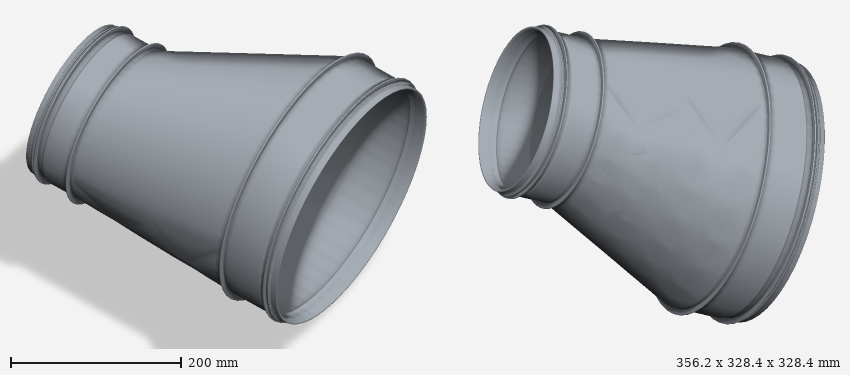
import math

import cadquery as cq

LENGTH = 356.2
SHEET = 0.55
SMALL_DIAMETER = 199.0
LARGE_DIAMETER = 313.8

RIM_LENGTH = 6.0
RIM_ROUND = 0.7
MOUTH_ROUND = 2.0
LINING_END = 10.0
LINING_TAPER_END = 15.3
SEAT_END = 21.7
SMALL_SLEEVE_LENGTH = 62.5
LARGE_SLEEVE_LENGTH = 75.0

SEAT_DEPTH = 1.95
STEP_ANGLE = math.radians(45)
STEP_BEND_LENGTH = 1.25
STEP_BEND_RADIUS = STEP_BEND_LENGTH / math.sin(STEP_ANGLE)
STEP_BEND_RISE = STEP_BEND_LENGTH * math.tan(STEP_ANGLE / 2)
STEP_SLOPE_LENGTH = (SEAT_DEPTH - 2 * STEP_BEND_RISE) / math.tan(STEP_ANGLE)
STEP_SLOPE_START = SEAT_END + STEP_BEND_LENGTH
STEP_SLOPE_END = STEP_SLOPE_START + STEP_SLOPE_LENGTH
STEP_END = STEP_SLOPE_END + STEP_BEND_LENGTH

BAND_DEPTH = 0.7
SHORT_LIP_START = 8.2
SHORT_LIP_KINK = 9.5
SHORT_LIP_TIP = 10.0
SHORT_LIP_END = 10.7
SHORT_LIP_KINK_HEIGHT = 1.5
SHORT_LIP_HEIGHT = 2.67
TALL_LIP_START = 14.5
TALL_LIP_END = 15.5
TALL_LIP_HEIGHT = 5.15

FLANGE_HEIGHT = 7.3
HEM_DEPTH = 3.0
HEM_ROUND = 0.7
FLANGE_BEND = 0.7
STUB_LENGTH = 5.5

SMALL_RADIUS = SMALL_DIAMETER / 2
LARGE_RADIUS = LARGE_DIAMETER / 2
SMALL_AXIS_Y = SMALL_RADIUS - LARGE_RADIUS
LARGE_AXIS_Y = 0.0
SMALL_JOINT_X = SMALL_SLEEVE_LENGTH
LARGE_JOINT_X = LENGTH - LARGE_SLEEVE_LENGTH


def revolve_profile(profile):
    """Turn a closed (x, radius) profile about the X axis."""
    return profile.close().revolve(360, (0, 0, 0), (1, 0, 0))


def place_at_small_mouth(body):
    """Put a body built from its mouth at x = 0 on the small duct."""
    return body.translate((0, SMALL_AXIS_Y, 0))


def place_at_large_mouth(body):
    """Turn a body built from its mouth at x = 0 round to face +X on the large duct."""
    return body.mirror("YZ").translate((LENGTH, LARGE_AXIS_Y, 0))


def place_at_small_joint(body):
    """Put a body built around a joint plane at x = 0 on the small joint."""
    return body.translate((SMALL_JOINT_X, SMALL_AXIS_Y, 0))


def place_at_large_joint(body):
    """Put a body built around a joint plane at x = 0 on the large joint."""
    return body.translate((LARGE_JOINT_X, LARGE_AXIS_Y, 0))


def make_sleeve_tube(radius, length):
    """Sheet tube: folded rim with a tapered lining, gasket seat, bent step and straight duct."""
    bore = radius - SHEET
    seat = radius - SEAT_DEPTH
    seat_bore = seat - SHEET
    lining_bore = seat_bore - SHEET
    profile = (
        cq.Workplane("XY")
        .moveTo(0, lining_bore + MOUTH_ROUND)
        .lineTo(0, radius - RIM_ROUND)
        .radiusArc((RIM_ROUND, radius), RIM_ROUND)
        .lineTo(RIM_LENGTH, radius)
        .lineTo(RIM_LENGTH, seat)
        .lineTo(SEAT_END, seat)
        .radiusArc((STEP_SLOPE_START, seat + STEP_BEND_RISE), -STEP_BEND_RADIUS)
        .lineTo(STEP_SLOPE_END, radius - STEP_BEND_RISE)
        .radiusArc((STEP_END, radius), STEP_BEND_RADIUS)
        .lineTo(length, radius)
        .lineTo(length, bore)
        .lineTo(STEP_END, bore)
        .radiusArc((STEP_SLOPE_END, bore - STEP_BEND_RISE), -STEP_BEND_RADIUS)
        .lineTo(STEP_SLOPE_START, seat_bore + STEP_BEND_RISE)
        .radiusArc((SEAT_END, seat_bore), STEP_BEND_RADIUS)
        .lineTo(LINING_TAPER_END, seat_bore)
        .lineTo(LINING_END, lining_bore)
        .lineTo(MOUTH_ROUND, lining_bore)
        .radiusArc((0, lining_bore + MOUTH_ROUND), MOUTH_ROUND)
    )
    return revolve_profile(profile)


def make_plain_flange(radius):
    """Flat flange on the -X side of a joint plane at x = 0, with a bend at its root."""
    tip = radius + FLANGE_HEIGHT - SHEET
    profile = (
        cq.Workplane("XY")
        .moveTo(0, radius)
        .lineTo(0, tip)
        .lineTo(-SHEET, tip)
        .lineTo(-SHEET, radius + FLANGE_BEND)
        .radiusArc((-SHEET - FLANGE_BEND, radius), FLANGE_BEND)
    )
    return revolve_profile(profile)


def make_hemmed_flange(radius):
    """Flange on the +X side of a joint plane at x = 0, folded over a plain flange's tip."""
    tip = radius + FLANGE_HEIGHT
    hem_face = -2 * SHEET
    profile = (
        cq.Workplane("XY")
        .moveTo(0, radius)
        .lineTo(0, tip - SHEET)
        .lineTo(-SHEET, tip - SHEET)
        .lineTo(-SHEET, tip - HEM_DEPTH)
        .lineTo(hem_face, tip - HEM_DEPTH)
        .lineTo(hem_face, tip - HEM_ROUND)
        .radiusArc((hem_face + HEM_ROUND, tip), HEM_ROUND)
        .lineTo(SHEET - HEM_ROUND, tip)
        .radiusArc((SHEET, tip - HEM_ROUND), HEM_ROUND)
        .lineTo(SHEET, radius + FLANGE_BEND)
        .radiusArc((SHEET + FLANGE_BEND, radius), -FLANGE_BEND)
    )
    return revolve_profile(profile)


def make_small_sleeve():
    """Small duct sleeve with the plain flange of its joint."""
    tube = place_at_small_mouth(make_sleeve_tube(SMALL_RADIUS, SMALL_SLEEVE_LENGTH))
    return tube.union(place_at_small_joint(make_plain_flange(SMALL_RADIUS)))


def make_large_sleeve():
    """Large duct sleeve with the hemmed flange of its joint."""
    tube = place_at_large_mouth(make_sleeve_tube(LARGE_RADIUS, LARGE_SLEEVE_LENGTH))
    return tube.union(place_at_large_joint(make_hemmed_flange(LARGE_RADIUS)))


def make_gasket(radius):
    """Rubber seal that sits on the sleeve seat behind the rim."""
    seat = radius - SEAT_DEPTH
    band = radius - BAND_DEPTH
    profile = (
        cq.Workplane("XY")
        .moveTo(RIM_LENGTH, seat)
        .lineTo(RIM_LENGTH, band)
        .lineTo(SHORT_LIP_START, band)
        .lineTo(SHORT_LIP_KINK, radius + SHORT_LIP_KINK_HEIGHT)
        .lineTo(SHORT_LIP_TIP, radius + SHORT_LIP_HEIGHT)
        .lineTo(SHORT_LIP_END, radius + SHORT_LIP_HEIGHT)
        .lineTo(SHORT_LIP_END, band)
        .lineTo(TALL_LIP_START, band)
        .lineTo(TALL_LIP_START, radius + TALL_LIP_HEIGHT)
        .lineTo(TALL_LIP_END, radius + TALL_LIP_HEIGHT)
        .lineTo(TALL_LIP_END, seat)
    )
    return revolve_profile(profile)


def make_tapered_solid(wall_offset):
    """Solid oblique cone with straight ends, its radii reduced by wall_offset."""
    small_radius = SMALL_RADIUS - wall_offset
    large_radius = LARGE_RADIUS - wall_offset
    taper_start = SMALL_JOINT_X + STUB_LENGTH
    taper_end = LARGE_JOINT_X - STUB_LENGTH
    small_stub = (
        cq.Workplane("YZ", origin=(SMALL_JOINT_X, SMALL_AXIS_Y, 0))
        .circle(small_radius)
        .extrude(STUB_LENGTH)
    )
    large_stub = (
        cq.Workplane("YZ", origin=(taper_end, LARGE_AXIS_Y, 0))
        .circle(large_radius)
        .extrude(STUB_LENGTH)
    )
    taper = (
        cq.Workplane("YZ", origin=(taper_start, SMALL_AXIS_Y, 0))
        .circle(small_radius)
        .workplane(offset=taper_end - taper_start)
        .center(LARGE_AXIS_Y - SMALL_AXIS_Y, 0)
        .circle(large_radius)
        .loft(ruled=True)
    )
    return taper.union(small_stub).union(large_stub)


def make_cone():
    """Eccentric reducer cone, hemmed over the small joint and plain at the large one."""
    shell = make_tapered_solid(0).cut(make_tapered_solid(SHEET))
    small_flange = place_at_small_joint(make_hemmed_flange(SMALL_RADIUS))
    large_flange = place_at_large_joint(make_plain_flange(LARGE_RADIUS))
    return shell.union(small_flange).union(large_flange)


small_sleeve = make_small_sleeve()
large_sleeve = make_large_sleeve()
small_gasket = place_at_small_mouth(make_gasket(SMALL_RADIUS))
large_gasket = place_at_large_mouth(make_gasket(LARGE_RADIUS))
cone = make_cone()

result = cq.Compound.makeCompound([
    small_sleeve.val(),
    large_sleeve.val(),
    small_gasket.val(),
    large_gasket.val(),
    cone.val(),
])